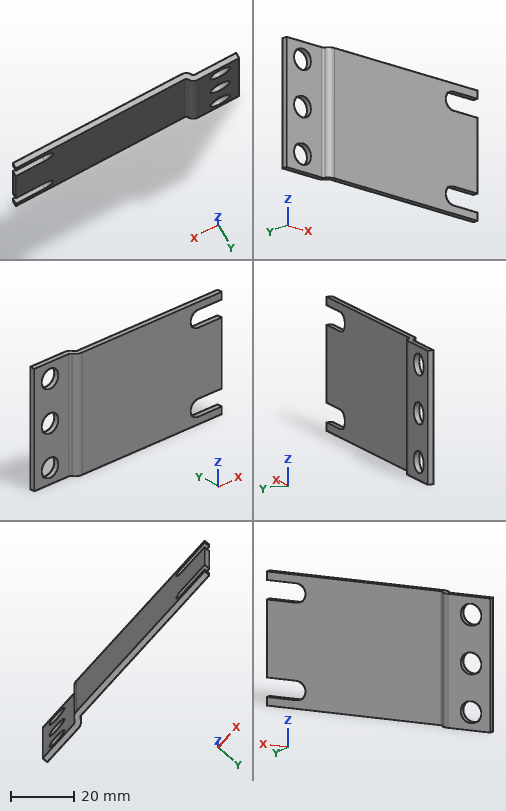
import cadquery as cq
import math

length = 79.4
height = 43.65
thickness = 2.0
overall_depth = 4.1
step = overall_depth - thickness

bend_start = 14.9
inner_radius = thickness / 2
outer_radius = inner_radius + thickness
radius_sum = inner_radius + outer_radius
bend_angle = math.acos(1 - step / radius_sum)
bend_end = bend_start + radius_sum * math.sin(bend_angle)

hole_diameter = 7.15
hole_x = 6.8
hole_pitch = 15.9
hole_offsets = (-hole_pitch, 0.0, hole_pitch)

slot_width = 6.35
slot_depth = 13.5
slot_offsets = (-hole_pitch, hole_pitch)


def bend_point(center, radius, angle):
    """Point on a bend arc, with the angle measured from +Y toward +X."""
    return (
        center[0] + radius * math.sin(angle),
        center[1] + radius * math.cos(angle),
    )


def make_plate():
    """Extrude the joggled sheet profile along Z, centred on the XY plane."""
    upper_center = (bend_start, step - inner_radius)
    lower_center = (bend_end, outer_radius)
    half = bend_angle / 2
    turn = math.pi

    profile = (
        cq.Workplane("XY")
        .moveTo(0, step)
        .lineTo(bend_start, step)
        .threePointArc(
            bend_point(upper_center, inner_radius, half),
            bend_point(upper_center, inner_radius, bend_angle),
        )
        .threePointArc(
            bend_point(lower_center, outer_radius, turn + half),
            (bend_end, 0),
        )
        .lineTo(length, 0)
        .lineTo(length, thickness)
        .lineTo(bend_end, thickness)
        .threePointArc(
            bend_point(lower_center, inner_radius, turn + half),
            bend_point(lower_center, inner_radius, turn + bend_angle),
        )
        .threePointArc(
            bend_point(upper_center, outer_radius, half),
            (bend_start, overall_depth),
        )
        .lineTo(0, overall_depth)
        .close()
    )
    return profile.extrude(height / 2, both=True)


def make_holes():
    """Row of cylinders that pierce the short flange along Y."""
    return (
        cq.Workplane("XZ")
        .pushPoints([(hole_x, z) for z in hole_offsets])
        .circle(hole_diameter / 2)
        .extrude(-overall_depth)
    )


def make_slots():
    """Round-ended cutters that run past the end of the long flange."""
    return (
        cq.Workplane("XZ")
        .pushPoints([(length, z) for z in slot_offsets])
        .slot2D(2 * slot_depth, slot_width)
        .extrude(-overall_depth)
    )


result = make_plate().cut(make_holes()).cut(make_slots())